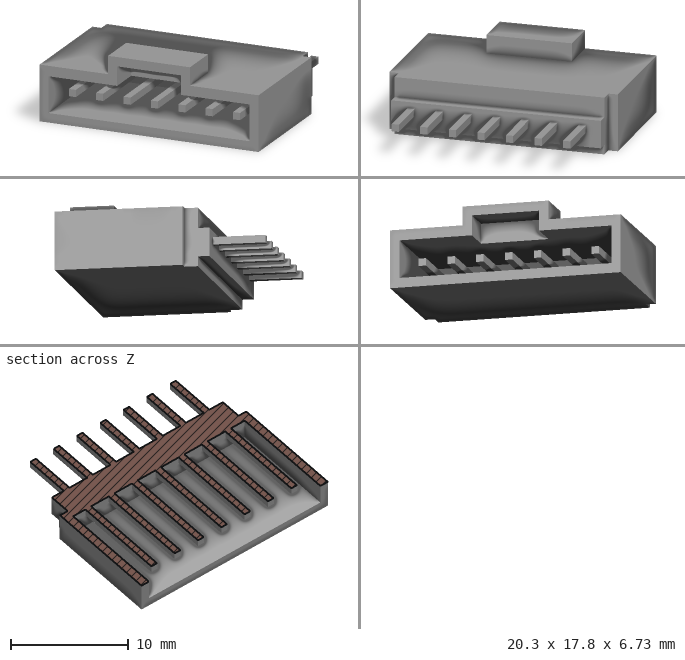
import cadquery as cq

width = 20.32
height = 5.08
shoulder_depth = 11.1
housing_depth = 12.23
side_wall = 0.83
floor_wall = 0.85
cavity_height = 3.3
cavity_depth = shoulder_depth - side_wall
cavity_width = width - 2 * side_wall

key_width = 7.6
key_depth = 3.8
total_height = 6.73
key_slot_width = key_width - 2 * side_wall
key_slot_depth = key_depth - side_wall
key_slot_top = total_height - side_wall

strip_depth = 1.0
strip_bottom = 0.85
strip_height = 2.45

pin_count = 7
pin_pitch = 2.55
pin_size = 0.65
pin_row_offset = -0.08
pin_center_z = 2.45
pin_start = 1.32
pin_end = 17.78


def box(center_x, size_x, y_start, y_end, z_start, z_end):
    """Box centred on center_x and spanning the given Y and Z limits."""
    size = (size_x, y_end - y_start, z_end - z_start)
    corner = (center_x - size_x / 2, y_start, z_start)
    return cq.Workplane("XY").box(*size, centered=False).translate(corner)


def make_housing():
    shell = box(0, width, 0, shoulder_depth, 0, height)
    back = box(0, cavity_width, shoulder_depth, housing_depth, 0, height)
    strip_end = housing_depth + strip_depth
    strip = box(0, cavity_width, housing_depth, strip_end, strip_bottom, strip_bottom + strip_height)
    key = box(0, key_width, 0, key_depth, 0, total_height)
    return shell.union(back).union(strip).union(key)


def make_cavity():
    main = box(0, cavity_width, 0, cavity_depth, floor_wall, floor_wall + cavity_height)
    key_slot = box(0, key_slot_width, 0, key_slot_depth, floor_wall, key_slot_top)
    return main.union(key_slot)


def make_pin(index):
    center_x = pin_row_offset + (index - (pin_count - 1) / 2) * pin_pitch
    bottom = pin_center_z - pin_size / 2
    return box(center_x, pin_size, pin_start, pin_end, bottom, bottom + pin_size)


result = make_housing().cut(make_cavity())
for pin_index in range(pin_count):
    result = result.union(make_pin(pin_index))